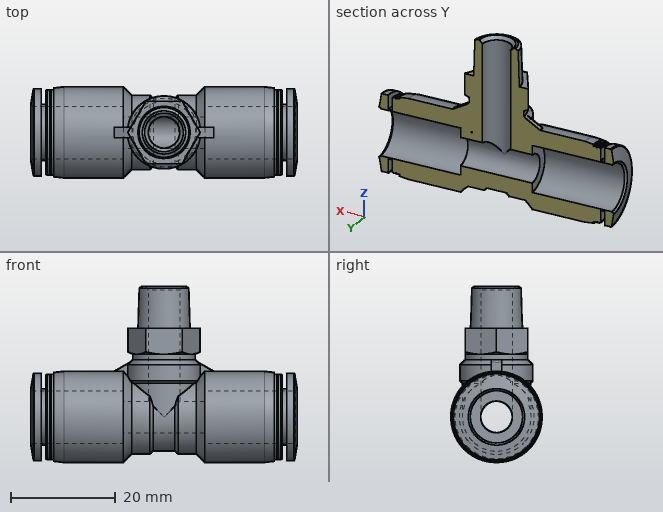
import cadquery as cq
import math


half_length = 25.5
waist_radius = 6.55
waist_half_width = 2.1
shoulder_radius = 7.15
shoulder_chamfer = shoulder_radius - waist_radius
body_radius = 17.5 / 2
body_start = 7.8
body_chamfer = body_radius - shoulder_radius
taper_start = 19.15
body_end = 21.1
body_end_radius = 8.52

ring_radius = 8.17
ring_end = 22.65
ring_chamfer_width = 0.3
ring_chamfer_depth = 0.2
ring_groove_start = 21.55
ring_groove_end = 21.9
ring_groove_radius = 8.0

sleeve_radius = 10.8 / 2
flange_start = 23.45
flange_radius = 16.8 / 2
flange_face_radius = 16.5 / 2
flange_face_drop = 0.48
flange_bevel_width = 0.18

passage_radius = 6.0 / 2
socket_radius = 10.0 / 2
socket_mouth_radius = 10.8 / 2
socket_mouth_chamfer = socket_mouth_radius - socket_radius
socket_floor = body_start

collar_radius = 7.0
collar_bottom = 6.9
collar_chamfer = collar_radius - waist_radius
collar_top = 10.0
neck_bottom = 10.95
neck_radius = 12.0 / 2
hex_bottom = 12.0
hex_top = 17.0
hex_across_flats = 12.0
hex_corner_radius = hex_across_flats / math.sqrt(3)
hex_chamfer_angle = 25.0
hex_envelope_margin = 1.0
stud_top = 25.0
thread_base_radius = 5.0
thread_tip_radius = 4.14
thread_tip_chamfer = 0.35
thread_taper = 1 / 32
mouth_radius = 3.7
mouth_chamfer = mouth_radius - passage_radius

rib_width = 2.0
rib_outer_x = 9.5
rib_slope = 30.0


def run_half_profile():
    """Outer half section of one run arm as (x, radius) points from the centre outward."""
    return [
        (0, 0),
        (0, waist_radius),
        (waist_half_width, waist_radius),
        (waist_half_width + shoulder_chamfer, shoulder_radius),
        (body_start - body_chamfer, shoulder_radius),
        (body_start, body_radius),
        (taper_start, body_radius),
        (body_end, body_end_radius),
        (body_end, ring_radius),
        (ring_groove_start, ring_radius),
        (ring_groove_end, ring_groove_radius),
        (ring_groove_end, ring_radius),
        (ring_end - ring_chamfer_width, ring_radius),
        (ring_end, ring_radius - ring_chamfer_depth),
        (ring_end, sleeve_radius),
        (flange_start, sleeve_radius),
        (flange_start, flange_radius),
        (half_length - flange_face_drop - flange_bevel_width, flange_radius),
        (half_length - flange_face_drop, flange_face_radius),
        (half_length, socket_mouth_radius),
        (half_length, 0),
    ]


def socket_profile():
    """Half section of one tube socket, with the chamfered mouth at the run end."""
    return [
        (socket_floor, 0),
        (socket_floor, socket_radius),
        (half_length - socket_mouth_chamfer, socket_radius),
        (half_length, socket_mouth_radius),
        (half_length, 0),
    ]


def revolve_about_x(profile):
    return cq.Workplane("XY").polyline(profile).close().revolve(360, (0, 0, 0), (1, 0, 0))


def revolve_about_z(profile):
    return cq.Workplane("XZ").polyline(profile).close().revolve(360, (0, 0, 0), (0, 1, 0))


def both_sides(arm):
    return arm.union(arm.mirror("YZ"))


def stud_base():
    """Round part of the stud from the run axis up to the hexagon."""
    return revolve_about_z([
        (0, 0),
        (waist_radius, 0),
        (waist_radius, collar_bottom - collar_chamfer),
        (collar_radius, collar_bottom),
        (collar_radius, collar_top),
        (neck_radius, neck_bottom),
        (neck_radius, hex_bottom),
        (0, hex_bottom),
    ])


def hexagon():
    """Hexagon with corners on the X axis and a conical chamfer on its lower edge."""
    prism = (
        cq.Workplane("XY")
        .workplane(offset=hex_bottom)
        .polygon(6, 2 * hex_corner_radius)
        .extrude(hex_top - hex_bottom)
    )
    flat_radius = hex_across_flats / 2
    outer_radius = hex_corner_radius + hex_envelope_margin
    chamfer_rise = (outer_radius - flat_radius) * math.tan(math.radians(hex_chamfer_angle))
    envelope = revolve_about_z([
        (0, hex_bottom),
        (flat_radius, hex_bottom),
        (outer_radius, hex_bottom + chamfer_rise),
        (outer_radius, hex_top),
        (0, hex_top),
    ])
    return prism.intersect(envelope)


def thread():
    """Plain tapered thread envelope with a chamfered tip."""
    chamfer_level = stud_top - thread_tip_chamfer
    chamfer_radius = thread_base_radius - (chamfer_level - hex_top) * thread_taper
    return revolve_about_z([
        (0, hex_top),
        (thread_base_radius, hex_top),
        (chamfer_radius, chamfer_level),
        (thread_tip_radius, stud_top),
        (0, stud_top),
    ])


def rib():
    """Triangular gusset sloping from the stud collar down to the top of one body."""
    inner_x = neck_radius
    inner_z = body_radius + (rib_outer_x - inner_x) * math.tan(math.radians(rib_slope))
    return (
        cq.Workplane("XZ")
        .polyline([(0, 0), (rib_outer_x, 0), (rib_outer_x, body_radius), (inner_x, inner_z), (0, inner_z)])
        .close()
        .extrude(rib_width / 2, both=True)
    )


def run_passage():
    return cq.Workplane("YZ").circle(passage_radius).extrude(half_length, both=True)


def stud_bore():
    """Bore from the run axis to the stud tip, with a chamfered mouth."""
    return revolve_about_z([
        (0, 0),
        (passage_radius, 0),
        (passage_radius, stud_top - mouth_chamfer),
        (mouth_radius, stud_top),
        (0, stud_top),
    ])


result = both_sides(revolve_about_x(run_half_profile()))
result = result.union(stud_base()).union(both_sides(rib())).union(hexagon()).union(thread())
result = result.cut(both_sides(revolve_about_x(socket_profile()))).cut(run_passage()).cut(stud_bore())